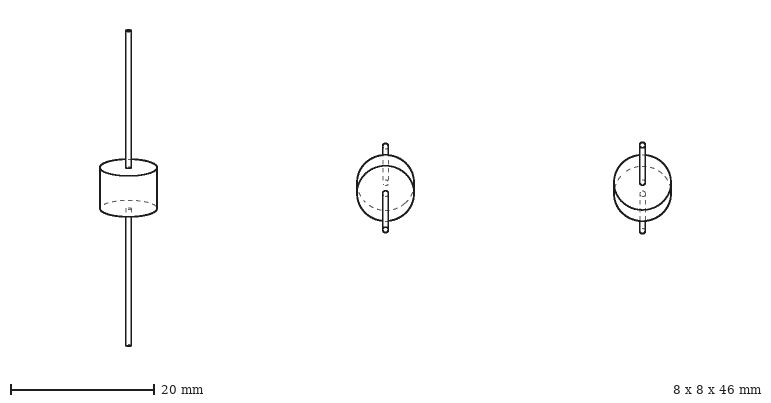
import cadquery as cq

body_diameter = 8.0
body_length = 6.0
cap_thickness = 0.5
lead_diameter = 0.8
lead_length = 20.0

body_radius = body_diameter / 2
lead_radius = lead_diameter / 2
body_end_z = body_length / 2
cap_joint_z = body_end_z - cap_thickness
lead_tip_z = body_end_z + lead_length


def half_section():
    """Closed half section on the -X side of the Z axis, from the lower lead tip upwards.

    The two points at the cap joints leave a circular edge where each cap meets the tube.
    """
    return (
        cq.Workplane("XZ")
        .moveTo(0, -lead_tip_z)
        .lineTo(-lead_radius, -lead_tip_z)
        .lineTo(-lead_radius, -body_end_z)
        .lineTo(-body_radius, -body_end_z)
        .lineTo(-body_radius, -cap_joint_z)
        .lineTo(-body_radius, cap_joint_z)
        .lineTo(-body_radius, body_end_z)
        .lineTo(-lead_radius, body_end_z)
        .lineTo(-lead_radius, lead_tip_z)
        .lineTo(0, lead_tip_z)
        .close()
    )


result = half_section().revolve(360, (0, 0), (0, 1))